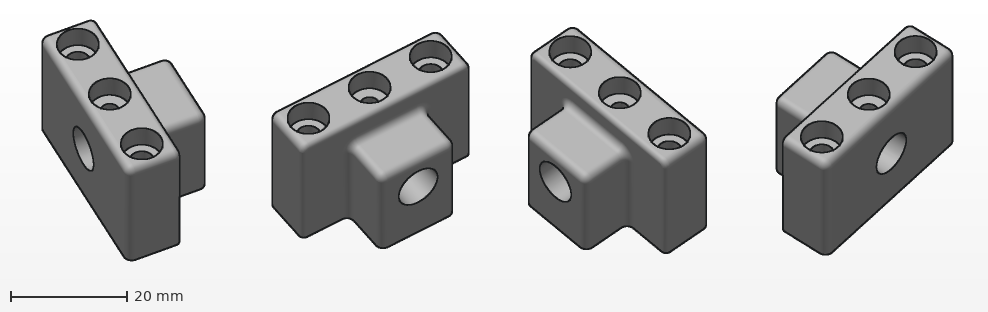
import cadquery as cq

plate_width = 35.0
plate_depth = 10.3
plate_height = 23.5

total_depth = 20.0
boss_width = 15.55
boss_height = 18.48

edge_radius = 1.5
rear_edge_radius = 1.0

hole_spacing = 12.67
hole_row_setback = 5.05
counterbore_diameter = 7.2
counterbore_depth = 4.3
outer_hole_diameter = 4.2
center_hole_diameter = 3.2

cross_hole_diameter = 8.05
cross_hole_height = plate_height / 2


def make_plate():
    """Block with rounded sides and top; the rear outline has a smaller radius."""
    plate = cq.Workplane("XY").box(plate_width, plate_depth, plate_height, centered=(True, False, False))
    plate = plate.faces(">Z").edges("|Y").fillet(edge_radius)
    plate = plate.faces("<Y").edges("not <Z").fillet(edge_radius)
    return plate.faces(">Y").edges("not <Z").fillet(rear_edge_radius)


def make_boss():
    """Block reaching from the middle of the plate to the rear, rounded on its sides, top and rear."""
    start = plate_depth / 2
    boss = (
        cq.Workplane("XY")
        .box(boss_width, total_depth - start, boss_height, centered=(True, False, False))
        .translate((0, start, 0))
    )
    boss = boss.faces(">Z").edges("|Y").fillet(edge_radius)
    return boss.faces(">Y").edges("not <Z").fillet(edge_radius)


def blend_boss_into_plate(body):
    """Concave fillet along the seam where the boss sides and top meet the plate's rear face."""
    tolerance = 0.05
    seam = cq.selectors.BoxSelector(
        (-boss_width / 2 - tolerance, plate_depth - tolerance, tolerance),
        (boss_width / 2 + tolerance, plate_depth + tolerance, boss_height + tolerance),
        boundingbox=False,
    )
    return body.edges(seam).edges("not(<Z or >Z)").fillet(edge_radius)


def drill_counterbored_hole(body, x, diameter):
    """Vertical through hole at x in the hole row, with a counterbore from the top."""
    return (
        body.faces(">Z")
        .workplane(origin=(x, hole_row_setback, plate_height))
        .cboreHole(diameter, counterbore_diameter, counterbore_depth)
    )


def cut_cross_hole(body):
    """Round hole along Y through the full depth of the body."""
    hole = (
        cq.Workplane("XZ")
        .center(0, cross_hole_height)
        .circle(cross_hole_diameter / 2)
        .extrude(-total_depth)
    )
    return body.cut(hole)


result = blend_boss_into_plate(make_plate().union(make_boss()))

for x, diameter in (
    (-hole_spacing, outer_hole_diameter),
    (0, center_hole_diameter),
    (hole_spacing, outer_hole_diameter),
):
    result = drill_counterbored_hole(result, x, diameter)

result = cut_cross_hole(result)